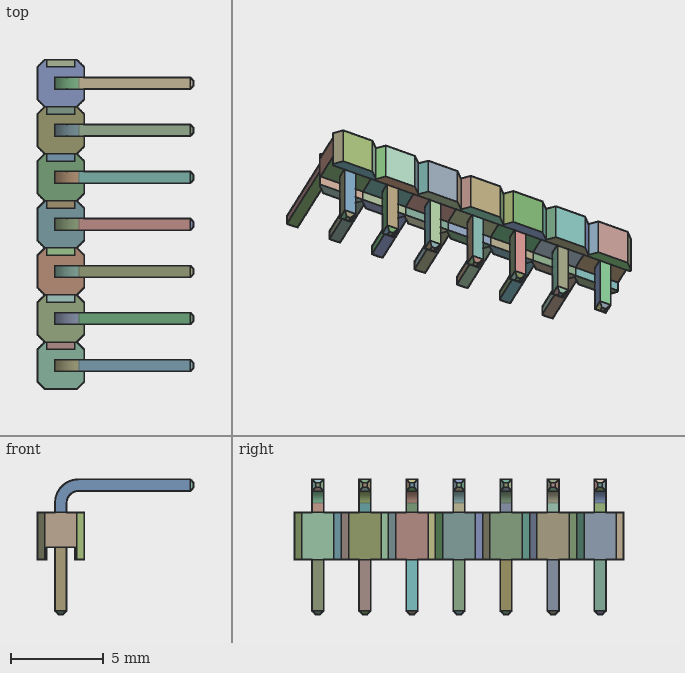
import cadquery as cq

row_length = 17.78
overall_depth = 8.45
overall_height = 7.3
contact_count = 7
pitch = row_length / contact_count

block_side = pitch
end_face_width = 1.75
corner_cut = (block_side - end_face_width) / 2
channel_width = 1.53
channel_height = 0.65
notch_depth_y = 0.4
notch_depth_z = 0.32

pin_width = 0.64
bend_inner_radius = pin_width
pin_above_block = 1.8
pin_below_block = overall_height - block_side - pin_above_block
pin_reach = overall_depth - block_side / 2
lower_tip_length = 0.21
lower_tip_width = 0.23
free_tip_length = 0.18
free_tip_width = 0.25

arm_axis_z = block_side + pin_above_block - pin_width / 2
bend_axis_radius = bend_inner_radius + pin_width / 2


def make_block():
    """Insulator block centred on the Z axis."""
    block = (
        cq.Workplane("XY")
        .box(block_side, block_side, block_side, centered=(True, True, False))
        .edges("|Z")
        .chamfer(corner_cut)
    )
    channel = cq.Workplane("XY").box(
        channel_width, block_side, channel_height, centered=(True, True, False)
    )
    notch = (
        cq.Workplane("XY", origin=(0, block_side / 2, block_side))
        .box(channel_width, 2 * notch_depth_y, 2 * notch_depth_z)
    )
    return block.cut(channel).cut(notch)


def make_pin():
    """Bent square pin with a tapered tip at each end."""
    shank_bottom = -pin_below_block + lower_tip_length
    arm_end = pin_reach - free_tip_length
    bend_start_z = arm_axis_z - bend_axis_radius

    shank = (
        cq.Workplane("XY", origin=(0, 0, shank_bottom))
        .rect(pin_width, pin_width)
        .extrude(bend_start_z - shank_bottom)
    )
    bend = (
        cq.Workplane("XY", origin=(0, 0, bend_start_z))
        .rect(pin_width, pin_width)
        .revolve(90, (bend_axis_radius, 0, 0), (bend_axis_radius, 1, 0))
    )
    arm = (
        cq.Workplane("YZ", origin=(bend_axis_radius, 0, arm_axis_z))
        .rect(pin_width, pin_width)
        .extrude(arm_end - bend_axis_radius)
    )
    lower_tip = (
        cq.Workplane("XY", origin=(0, 0, -pin_below_block))
        .rect(lower_tip_width, lower_tip_width)
        .workplane(offset=lower_tip_length)
        .rect(pin_width, pin_width)
        .loft(ruled=True)
    )
    free_tip = (
        cq.Workplane("YZ", origin=(arm_end, 0, arm_axis_z))
        .rect(pin_width, pin_width)
        .workplane(offset=free_tip_length)
        .rect(free_tip_width, free_tip_width)
        .loft(ruled=True)
    )
    return shank.union(bend).union(arm).union(lower_tip).union(free_tip)


def make_contact(y):
    """One header contact: a block and its pin in one piece, centred at y."""
    return make_block().union(make_pin()).translate((0, y, 0))


first_y = -(row_length - pitch) / 2
contacts = [make_contact(first_y + i * pitch) for i in range(contact_count)]

result = cq.Compound.makeCompound([contact.solids().val() for contact in contacts])